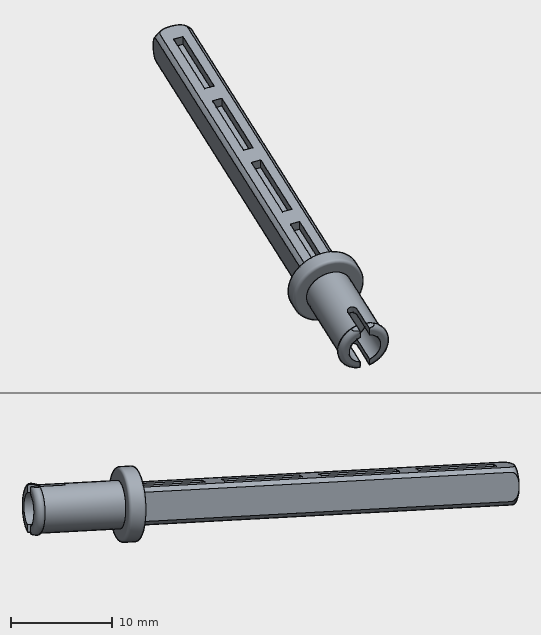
import cadquery as cq

total_length = 50.0
flange_start = 39.0
flange_end = 40.75

shaft_side = 3.8
body_diameter = 4.8
tip_fillet = 0.9

pocket_count = 4
pocket_start = 2.0
pocket_length = 8.0
pocket_pitch = 10.0
pocket_width = 1.0
pocket_depth = 1.0

flange_diameter = 7.5
flange_fillet = 0.3

lip_diameter = 5.35
lip_radius = 0.5
bore_diameter = 3.35
split_width = 1.0
split_length = 3.7


def disc(start, end, diameter):
    """Round bar along X between two positions."""
    return cq.Workplane("YZ", origin=(start, 0, 0)).circle(diameter / 2).extrude(end - start)


def make_shaft():
    square = cq.Workplane("YZ").rect(shaft_side, shaft_side).extrude(flange_start)
    envelope = disc(0, flange_start, body_diameter).faces("<X").edges().fillet(tip_fillet)
    shaft = square.intersect(envelope)
    for index in range(pocket_count):
        start = pocket_start + index * pocket_pitch
        length = min(pocket_length, flange_start - start)
        pocket = cq.Workplane("XY").box(length, pocket_width, pocket_depth, centered=(False, True, False))
        shaft = shaft.cut(pocket.translate((start, 0, shaft_side / 2 - pocket_depth)))
    return shaft


def make_flange():
    return disc(flange_start, flange_end, flange_diameter).edges().fillet(flange_fillet)


def make_lip():
    """Half-round ring at the pin's end, built with its solid core."""
    lip_start = total_length - 2 * lip_radius
    core_radius = lip_diameter / 2 - lip_radius
    return (
        cq.Workplane("XY")
        .moveTo(lip_start, 0)
        .lineTo(lip_start, core_radius)
        .threePointArc((total_length - lip_radius, lip_diameter / 2), (total_length, core_radius))
        .lineTo(total_length, 0)
        .close()
        .revolve(360, (0, 0, 0), (1, 0, 0))
    )


def make_pin():
    stem = disc(flange_end, total_length - lip_radius, body_diameter)
    split_start = total_length - split_length
    split = (
        cq.Workplane("XY", origin=(total_length, 0, 0))
        .slot2D(2 * split_length, split_width)
        .extrude(lip_diameter, both=True)
    )
    bore = disc(split_start, total_length, bore_diameter)
    pin = stem.union(make_lip()).cut(split).cut(bore)

    pin_length = total_length - flange_end
    flats = cq.Workplane("XY").box(2 * pin_length, flange_diameter, body_diameter)
    return pin.intersect(flats.translate((total_length, 0, 0)))


result = make_shaft().union(make_flange()).union(make_pin())